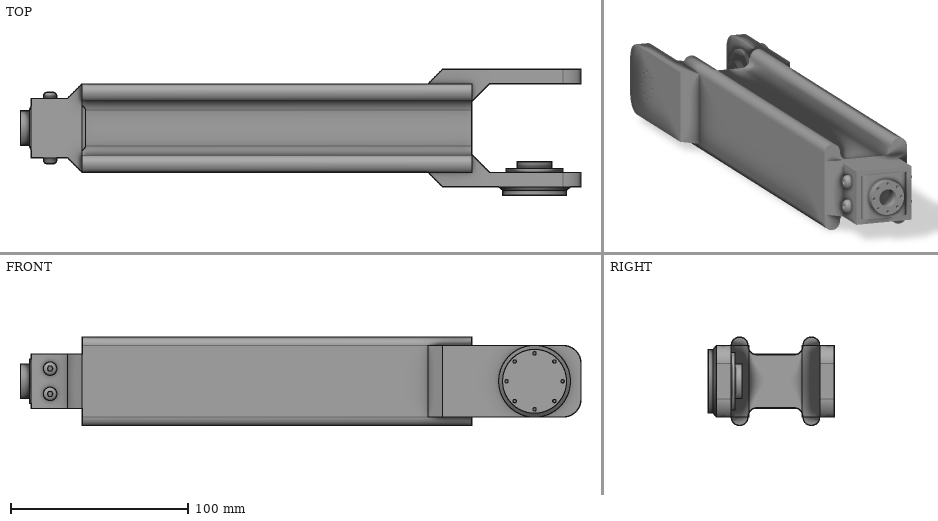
import cadquery as cq
import math


OVERALL_LENGTH = 316.0
NOSE_END = -OVERALL_LENGTH / 2
FORK_END = OVERALL_LENGTH / 2

BEAM_WIDTH = 50.0
BEAM_LENGTH = 219.5
BEAM_END = 96.5
BEAM_START = BEAM_END - BEAM_LENGTH
RAIL_RADIUS = 4.7
WEB_FILLET_RADIUS = 5.5
BEAM_HALF = BEAM_WIDTH / 2
RAIL_CENTER = BEAM_HALF - RAIL_RADIUS
RAIL_INSIDE = RAIL_CENTER - RAIL_RADIUS
WEB_HALF = RAIL_CENTER - WEB_FILLET_RADIUS
WEB_FLAT_HALF = RAIL_INSIDE - WEB_FILLET_RADIUS

SERVO_WIDTH = 27.8
SERVO_HEIGHT = 25.3
SERVO_EDGE_RADIUS = 4.5
SERVO_STICK_OUT = 1.0
HORN_DIAMETER = 19.5
HORN_THICKNESS = 5.0
HORN_BORE_DIAMETER = 10.0
HORN_BORE_DEPTH = 10.0
HORN_BOLT_CIRCLE = 16.5
HORN_HOLE_DIAMETER = 2.0
HORN_BOLT_COUNT = 8
SERVO_FACE = NOSE_END + HORN_THICKNESS

NOSE_WIDTH = 33.5
NOSE_HEIGHT = 31.0
NOSE_FACE = SERVO_FACE + SERVO_STICK_OUT
NOSE_FLARE = (BEAM_WIDTH - NOSE_WIDTH) / 2
RAMP_LENGTH = 2.0

SCREW_X = NOSE_FACE + 10.7
SCREW_SPACING = 14.2
SCREW_HEAD_DIAMETER = 7.5
SCREW_HEAD_HEIGHT = 3.5
SCREW_DOME_RADIUS = 2.2
SCREW_SOCKET_SIZE = 3.2
SCREW_SOCKET_DEPTH = 1.5
SCREW_SHANK_DIAMETER = 3.8
NOSE_WALL = (NOSE_WIDTH - SERVO_WIDTH) / 2

ARM_THICKNESS = 8.2
ARM_HEIGHT = 2 * RAIL_CENTER
ARM_OVERLAP = 24.5
ARM_CORNER_RADIUS = 10.0
GUSSET_SIZE = 10.0
JOINT_X = 131.8

CAP_BASE_DIAMETER = ARM_HEIGHT
CAP_DIAMETER = 36.0
CAP_TAPER_LENGTH = 2.0
CAP_HEIGHT = 4.7
CAP_BOLT_CIRCLE = 31.5
CAP_HOLE_DIAMETER = 2.0
CAP_HOLE_DEPTH = 1.3
CAP_BOLT_COUNT = 8
BUSHING_DIAMETER = 32.2
BUSHING_STICK_OUT = 2.2
BUSHING_LENGTH = ARM_THICKNESS + BUSHING_STICK_OUT
PIN_DIAMETER = HORN_DIAMETER
PIN_STICK_OUT = 3.8

ARM_OUTER_Y = BEAM_HALF + ARM_THICKNESS


def plane_along_x(x):
    """Sketch plane at x whose normal is +X and whose axes are Y and Z."""
    return cq.Plane(origin=(x, 0, 0), xDir=(0, 1, 0), normal=(1, 0, 0))


def plane_along_y(x, y):
    """Sketch plane at (x, y) whose normal is +Y and whose vertical axis is Z."""
    return cq.Plane(origin=(x, y, 0), xDir=(-1, 0, 0), normal=(0, 1, 0))


def bolt_holes(plane, circle, count, diameter, depth):
    """Ring of round cutters along the plane's normal."""
    return (
        cq.Workplane(plane)
        .polarArray(circle / 2, 0, 360, count)
        .circle(diameter / 2)
        .extrude(depth)
    )




def beam_quarter():
    """The +Y, +Z quarter of the beam: a rail with a hollow fillet down to the web."""
    diagonal = RAIL_RADIUS * math.sqrt(0.5)
    fillet_diagonal = WEB_FILLET_RADIUS * math.sqrt(0.5)
    return (
        cq.Workplane(plane_along_x(BEAM_START))
        .moveTo(0, 0)
        .lineTo(BEAM_HALF, 0)
        .lineTo(BEAM_HALF, RAIL_CENTER)
        .threePointArc((RAIL_CENTER + diagonal, RAIL_CENTER + diagonal), (RAIL_CENTER, BEAM_HALF))
        .threePointArc((RAIL_CENTER - diagonal, RAIL_CENTER + diagonal), (RAIL_INSIDE, RAIL_CENTER))
        .threePointArc(
            (WEB_FLAT_HALF + fillet_diagonal, RAIL_CENTER - fillet_diagonal),
            (WEB_FLAT_HALF, WEB_HALF),
        )
        .lineTo(0, WEB_HALF)
        .close()
        .extrude(BEAM_LENGTH)
    )


def make_beam():
    quarter = beam_quarter()
    upper_half = quarter.union(quarter.mirror("XZ"))
    return upper_half.union(upper_half.mirror("XY"))


def make_nose():
    half = NOSE_WIDTH / 2
    block = (
        cq.Workplane("XY")
        .polyline([
            (NOSE_FACE, -half),
            (BEAM_START - NOSE_FLARE, -half),
            (BEAM_START, -BEAM_HALF),
            (BEAM_START, BEAM_HALF),
            (BEAM_START - NOSE_FLARE, half),
            (NOSE_FACE, half),
        ])
        .close()
        .extrude(NOSE_HEIGHT / 2, both=True)
    )
    ramp = (
        cq.Workplane("XZ")
        .polyline([
            (BEAM_START, -NOSE_HEIGHT / 2),
            (BEAM_START, NOSE_HEIGHT / 2),
            (BEAM_START + RAMP_LENGTH, WEB_HALF),
            (BEAM_START + RAMP_LENGTH, -WEB_HALF),
        ])
        .close()
        .extrude(RAIL_INSIDE, both=True)
    )
    return block.union(ramp)


def make_arm():
    """The +Y arm of the fork, with its gusset."""
    arm = (
        cq.Workplane("XY")
        .polyline([
            (BEAM_END - ARM_OVERLAP, BEAM_HALF),
            (BEAM_END - ARM_OVERLAP + ARM_THICKNESS, ARM_OUTER_Y),
            (FORK_END, ARM_OUTER_Y),
            (FORK_END, BEAM_HALF),
            (BEAM_END + GUSSET_SIZE, BEAM_HALF),
            (BEAM_END, BEAM_HALF - GUSSET_SIZE),
            (BEAM_END, BEAM_HALF),
        ])
        .close()
        .extrude(ARM_HEIGHT / 2, both=True)
    )
    return arm.edges("|Y and >X").fillet(ARM_CORNER_RADIUS)


def make_link():
    arm = make_arm()
    link = make_beam().union(make_nose()).union(arm).union(arm.mirror("XZ"))
    bushing_bore = (
        cq.Workplane(plane_along_y(JOINT_X, -ARM_OUTER_Y))
        .circle(BUSHING_DIAMETER / 2)
        .extrude(ARM_THICKNESS)
    )
    arm_holes = bolt_holes(
        plane_along_y(JOINT_X, BEAM_HALF),
        HORN_BOLT_CIRCLE, HORN_BOLT_COUNT, HORN_HOLE_DIAMETER, ARM_THICKNESS,
    )
    link = link.cut(servo_block()).cut(bushing_bore).cut(arm_holes)
    for z, side in screw_places():
        link = link.cut(screw_shank(z, side))
    return link




def servo_block():
    """Plain box of the servo, which also shapes its pocket."""
    return (
        cq.Workplane(plane_along_x(SERVO_FACE))
        .rect(SERVO_WIDTH, SERVO_HEIGHT)
        .extrude(BEAM_START - SERVO_FACE)
    )


def make_servo():
    horn_plane = plane_along_x(NOSE_END)
    body = servo_block().edges("|Z and <X").fillet(SERVO_EDGE_RADIUS)
    horn = cq.Workplane(horn_plane).circle(HORN_DIAMETER / 2).extrude(HORN_THICKNESS)
    bore = cq.Workplane(horn_plane).circle(HORN_BORE_DIAMETER / 2).extrude(HORN_BORE_DEPTH)
    mounting_holes = bolt_holes(
        horn_plane, HORN_BOLT_CIRCLE, HORN_BOLT_COUNT, HORN_HOLE_DIAMETER, HORN_THICKNESS,
    )
    return body.union(horn).cut(bore).cut(mounting_holes)




def screw_places():
    """Height and side (-1 or +1 along Y) of each screw."""
    return [(z, side) for side in (-1, 1) for z in (-SCREW_SPACING / 2, SCREW_SPACING / 2)]


def screw_plane(z, side):
    """Plane on the nose's side wall, with its normal pointing outward."""
    return cq.Plane(origin=(SCREW_X, side * NOSE_WIDTH / 2, z), xDir=(1, 0, 0), normal=(0, side, 0))


def screw_shank(z, side):
    return cq.Workplane(screw_plane(z, side)).circle(SCREW_SHANK_DIAMETER / 2).extrude(-NOSE_WALL)


def make_screw(z, side):
    """Button-head screw with a hexagon socket."""
    head_radius = SCREW_HEAD_DIAMETER / 2
    head = (
        cq.Workplane(screw_plane(z, side))
        .circle(head_radius)
        .extrude(SCREW_HEAD_HEIGHT)
        .faces(">Y" if side > 0 else "<Y")
        .edges()
        .fillet(SCREW_DOME_RADIUS)
    )
    socket = (
        cq.Workplane(screw_plane(z, side))
        .workplane(offset=SCREW_HEAD_HEIGHT)
        .polygon(6, SCREW_SOCKET_SIZE)
        .extrude(-SCREW_SOCKET_DEPTH)
    )
    return head.cut(socket).union(screw_shank(z, side))




def make_joint_cap():
    """Disc with a tapered foot on the arm and a ring of blind holes in its face."""
    cap_face = -ARM_OUTER_Y - CAP_HEIGHT
    cap = (
        cq.Workplane("XY")
        .polyline([
            (0, cap_face),
            (CAP_DIAMETER / 2, cap_face),
            (CAP_DIAMETER / 2, -ARM_OUTER_Y - CAP_TAPER_LENGTH),
            (CAP_BASE_DIAMETER / 2, -ARM_OUTER_Y),
            (0, -ARM_OUTER_Y),
        ])
        .close()
        .revolve(360, (0, 0, 0), (0, 1, 0))
        .translate((JOINT_X, 0, 0))
    )
    return cap.cut(bolt_holes(
        plane_along_y(JOINT_X, cap_face),
        CAP_BOLT_CIRCLE, CAP_BOLT_COUNT, CAP_HOLE_DIAMETER, CAP_HOLE_DEPTH,
    ))


def make_joint_bushing():
    return (
        cq.Workplane(plane_along_y(JOINT_X, -ARM_OUTER_Y))
        .circle(BUSHING_DIAMETER / 2)
        .circle(PIN_DIAMETER / 2)
        .extrude(BUSHING_LENGTH)
    )


def make_joint_pin():
    return (
        cq.Workplane(plane_along_y(JOINT_X, -ARM_OUTER_Y))
        .circle(PIN_DIAMETER / 2)
        .extrude(BUSHING_LENGTH + PIN_STICK_OUT)
    )


link = make_link()
servo = make_servo()
joint_cap = make_joint_cap()
joint_bushing = make_joint_bushing()
joint_pin = make_joint_pin()
screws = [make_screw(z, side) for z, side in screw_places()]

result = cq.Compound.makeCompound([
    link.val(),
    servo.val(),
    joint_cap.val(),
    joint_bushing.val(),
    joint_pin.val(),
    *[screw.val() for screw in screws],
])